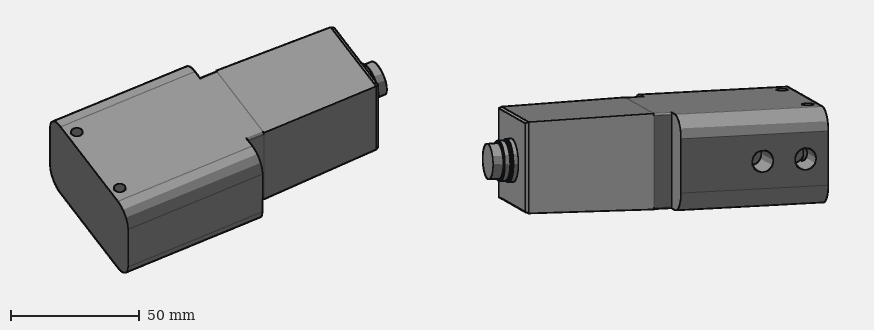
import cadquery as cq

total_length = 129.1
body_width = 62.0
body_height = 38.0

body_length = 60.0
body_corner_radius = 8.3

neck_end = 67.4
neck_corner_radius = 0.8
housing_end = 119.3
housing_end_size = 36.1
end_bevel_length = 1.3
end_bevel_inset = 0.5

flange_diameter = 17.0
flange_end = 121.6
ring_diameter = 16.0
ring_start = 122.1
ring_end = 125.0
plug_diameter = 14.0
connector_chamfer = 0.4

side_hole_diameter = 8.5
side_hole_depth = 15.9
side_hole_positions = (9.3, 26.7)
mounting_hole_diameter = 4.5
mounting_hole_spacing = 34.1
mounting_hole_position = 4.1


def section_plane(y):
    """Plane across the part at y, with its normal along +Y."""
    return cq.Workplane(cq.Plane(origin=(0, y, 0), xDir=(1, 0, 0), normal=(0, 1, 0)))


def rounded_block(width, height, start, end, radius):
    block = section_plane(start).rect(width, height).extrude(end - start)
    return block.edges("|Y").fillet(radius)


def tapered_block(start, end, start_size, end_size):
    sketch = section_plane(start).rect(start_size, start_size)
    return sketch.workplane(offset=end - start).rect(end_size, end_size).loft(ruled=True)


def disc(diameter, start, end):
    return section_plane(start).circle(diameter / 2).extrude(end - start)


def make_housing():
    bevel_start = housing_end - end_bevel_length
    bevel_size = housing_end_size - 2 * end_bevel_inset
    taper = tapered_block(neck_end, bevel_start, body_height, housing_end_size)
    bevel = tapered_block(bevel_start, housing_end, housing_end_size, bevel_size)
    return taper.union(bevel)


def make_connector():
    plug = disc(plug_diameter, housing_end, total_length)
    flange = disc(flange_diameter, housing_end, flange_end).faces(">Y").chamfer(connector_chamfer)
    ring = disc(ring_diameter, ring_start, ring_end).faces("<Y or >Y").chamfer(connector_chamfer)
    return plug.union(flange).union(ring)


def make_side_holes():
    """Blind holes entering the -X face at mid height."""
    centers = [(y, 0) for y in side_hole_positions]
    entry = cq.Workplane("YZ", origin=(-body_width / 2, 0, 0))
    return entry.pushPoints(centers).circle(side_hole_diameter / 2).extrude(side_hole_depth)


def make_mounting_holes():
    """Vertical holes through the body, next to the front face."""
    half_spacing = mounting_hole_spacing / 2
    centers = [(side * half_spacing, mounting_hole_position) for side in (-1, 1)]
    base = cq.Workplane("XY", origin=(0, 0, -body_height / 2))
    return base.pushPoints(centers).circle(mounting_hole_diameter / 2).extrude(body_height)


body = rounded_block(body_width, body_height, 0, body_length, body_corner_radius)
neck = rounded_block(body_height, body_height, body_length, neck_end, neck_corner_radius)
solid = body.union(neck).union(make_housing()).union(make_connector())
result = solid.cut(make_side_holes()).cut(make_mounting_holes())